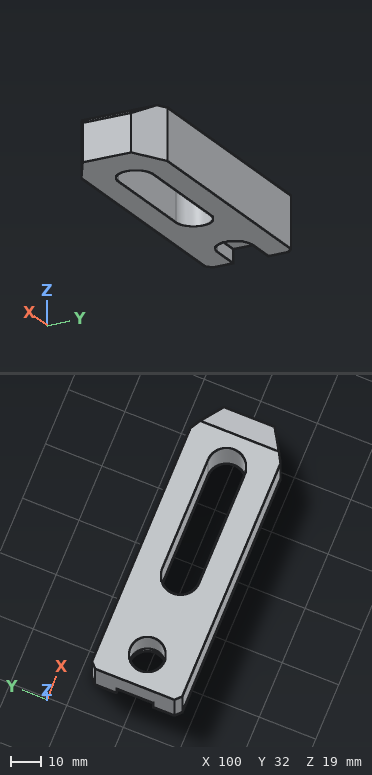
import cadquery as cq
import math

length = 100.0
width = 32.0
height = 19.0

heel_chamfer = 2.0
nose_angle = math.radians(30)
nose_width = 18.0
nose_drop = 5.0

hole_diameter = 12.0
hole_x = 11.0

slot_width = 13.0
slot_start_x = 40.0
slot_end_x = 80.0

groove_width = 13.0
groove_depth = 5.0


def bar_body():
    """Bar with chamfered heel corners and a nose tapered in plan."""
    taper_length = (width - nose_width) / 2 / math.tan(nose_angle)
    half_outline = [
        (0, width / 2 - heel_chamfer),
        (heel_chamfer, width / 2),
        (length - taper_length, width / 2),
        (length, nose_width / 2),
    ]
    mirrored = [(x, -y) for x, y in reversed(half_outline)]
    return cq.Workplane("XY").polyline(half_outline + mirrored).close().extrude(height)


def nose_bevel():
    """Wedge removed from the top of the nose."""
    bevel_length = nose_drop / math.tan(nose_angle)
    return (
        cq.Workplane("XZ")
        .polyline([(length - bevel_length, height), (length, height), (length, height - nose_drop)])
        .close()
        .extrude(width / 2, both=True)
    )


def round_hole():
    return cq.Workplane("XY").center(hole_x, 0).circle(hole_diameter / 2).extrude(height)


def long_slot():
    slot_length = slot_end_x - slot_start_x + slot_width
    slot_centre = (slot_start_x + slot_end_x) / 2
    return cq.Workplane("XY").center(slot_centre, 0).slot2D(slot_length, slot_width).extrude(height)


def underside_groove():
    """Blind groove from the heel, with a round end concentric with the hole."""
    channel = cq.Workplane("XY").box(hole_x, groove_width, groove_depth, centered=(False, True, False))
    round_end = cq.Workplane("XY").center(hole_x, 0).circle(groove_width / 2).extrude(groove_depth)
    return channel.union(round_end)


result = bar_body().cut(nose_bevel()).cut(round_hole()).cut(long_slot()).cut(underside_groove())